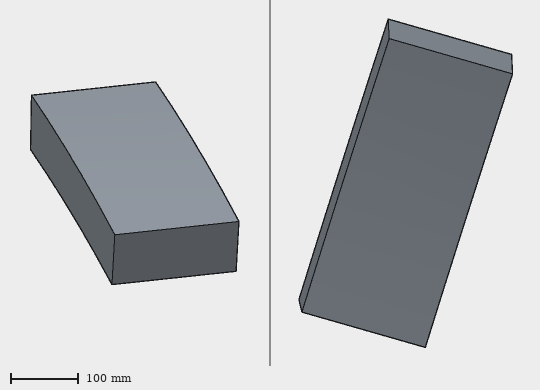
import cadquery as cq
import math

length = 451.5
width = 190.5
height = 134.0
left_edge_lean = 5.0
left_edge_height = 88.5
right_edge_lean = 15.5
right_edge_height = 85.5
sweep_angle = math.radians(7.0)

bottom_left = (0, height - left_edge_height)
top_left = (left_edge_lean, height)
top_right = (length, right_edge_height)
bottom_right = (length - right_edge_lean, 0)


def arc_midpoint(start, end):
    """Midpoint of the upward-bulging arc that turns through the sweep angle."""
    dx = end[0] - start[0]
    dz = end[1] - start[1]
    bulge = math.tan(sweep_angle / 4) / 2
    return (
        (start[0] + end[0]) / 2 - dz * bulge,
        (start[1] + end[1]) / 2 + dx * bulge,
    )


result = (
    cq.Workplane("XZ")
    .moveTo(*bottom_left)
    .lineTo(*top_left)
    .threePointArc(arc_midpoint(top_left, top_right), top_right)
    .lineTo(*bottom_right)
    .threePointArc(arc_midpoint(bottom_left, bottom_right), bottom_left)
    .close()
    .extrude(width / 2, both=True)
)